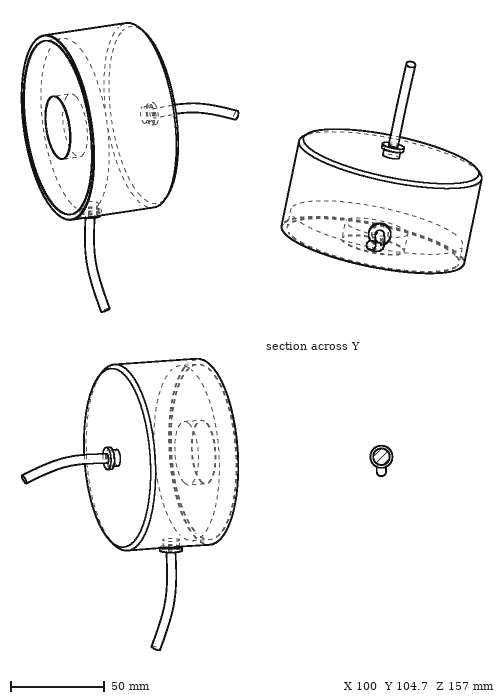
import cadquery as cq


housing_diameter = 100.0
housing_depth = 49.9
back_chamfer = 2.0
front_chamfer = 0.3
housing_radius = housing_diameter / 2

filling_outer_diameter = 94.0
pole_diameter = 34.0
filling_recess = 0.5
filling_floor = 10.0

neck_diameter = 9.0
neck_length = 4.0
flange_diameter = 12.0
flange_thickness = 2.0
bushing_length = neck_length + flange_thickness
side_bushing_y = 19.0
side_bushing_projection = 2.5
side_seat_depth = bushing_length - side_bushing_projection

cable_diameter = 5.0
back_cable_length = 47.7
back_cable_mid_drop = 0.5
back_cable_tip_drop = 8.2
side_cable_length = 53.5
side_cable_mid_offset_x = 0.5
side_cable_mid_offset_y = 0.3
side_cable_tip_offset_x = 6.0
side_cable_tip_offset_y = 6.3

back_outlet = cq.Plane(origin=(0, housing_depth, 0), xDir=(1, 0, 0), normal=(0, 1, 0))
side_outlet = cq.Plane(
    origin=(0, side_bushing_y, side_seat_depth - housing_radius), xDir=(1, 0, 0), normal=(0, 0, -1)
)


def make_ring(front_y):
    """Ring around the centre pole, from front_y back to the floor of the ring groove."""
    return (
        cq.Workplane("XZ", origin=(0, front_y, 0))
        .circle(filling_outer_diameter / 2)
        .circle(pole_diameter / 2)
        .extrude(front_y - filling_floor)
    )


def make_housing():
    """Cylinder with a centre pole, a ring groove for the filling and a bored seat underneath."""
    body = cq.Workplane("XZ").circle(housing_radius).extrude(-housing_depth)
    body = body.faces(">Y").chamfer(back_chamfer)
    body = body.faces("<Y").chamfer(front_chamfer)
    side_seat = cq.Workplane(side_outlet).circle(neck_diameter / 2).extrude(bushing_length)
    return body.cut(make_ring(0)).cut(side_seat)


def make_bushing(outlet):
    """Stepped bushing standing on the outlet plane."""
    neck = cq.Workplane(outlet).circle(neck_diameter / 2).extrude(neck_length)
    flange = (
        cq.Workplane(outlet)
        .workplane(offset=neck_length)
        .circle(flange_diameter / 2)
        .extrude(flange_thickness)
    )
    return neck.union(flange)


def make_cable(outlet, length, mid_offset, tip_offset):
    """Round cable from the bushing flange, along a curve with no bending at its two ends.

    Both offsets are (local X, local Y) of the outlet plane. The end slopes are those of the
    natural cubic spline through the start, the middle and the tip.
    """
    half_length = length / 2
    start_slope = [(6 * mid - tip) / (2.548 * half_length) for mid, tip in zip(mid_offset, tip_offset)]
    tip_slope = [(7.8 * tip - 9.4 * mid) / (4 * half_length) for mid, tip in zip(mid_offset, tip_offset)]

    start = outlet.toWorldCoords((0, 0, bushing_length))
    middle = outlet.toWorldCoords((*mid_offset, bushing_length + half_length))
    tip = outlet.toWorldCoords((*tip_offset, bushing_length + length))
    start_direction = outlet.toWorldCoords((*start_slope, 1.5)) - outlet.origin
    tip_direction = outlet.toWorldCoords((*tip_slope, 1.5)) - outlet.origin

    path = cq.Edge.makeSpline([start, middle, tip], tangents=[start_direction, tip_direction])
    section = cq.Plane(origin=start, xDir=outlet.xDir, normal=outlet.zDir)
    return cq.Workplane(section).circle(cable_diameter / 2).sweep(cq.Workplane(obj=path))


housing = make_housing()
filling = make_ring(filling_recess)
bushings = [make_bushing(outlet) for outlet in (back_outlet, side_outlet)]

back_cable = make_cable(
    back_outlet,
    back_cable_length,
    mid_offset=(0, back_cable_mid_drop),
    tip_offset=(0, back_cable_tip_drop),
)
side_cable = make_cable(
    side_outlet,
    side_cable_length,
    mid_offset=(side_cable_mid_offset_x, -side_cable_mid_offset_y),
    tip_offset=(side_cable_tip_offset_x, -side_cable_tip_offset_y),
)

result = cq.Compound.makeCompound(
    [
        housing.val(),
        filling.val(),
        *[bushing.val() for bushing in bushings],
        back_cable.val(),
        side_cable.val(),
    ]
)